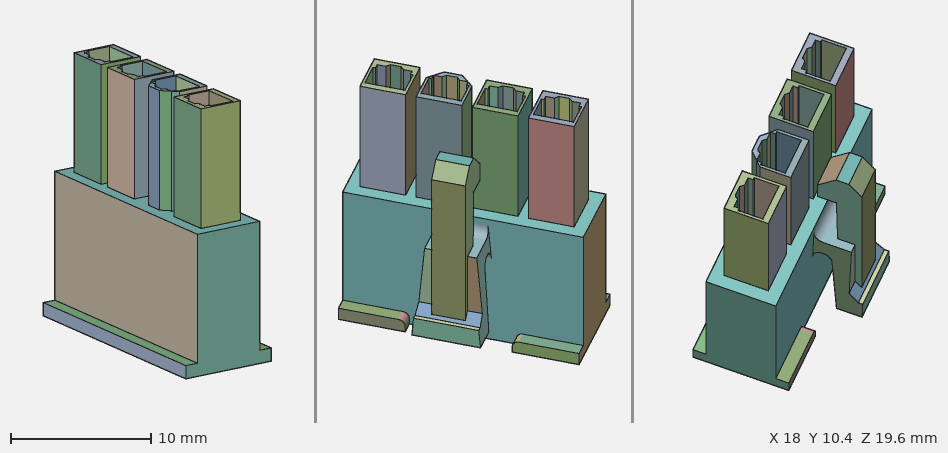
import cadquery as cq
import math


housing_length = 18.0
housing_width = 5.4
housing_top = 10.65
flange_width = 7.4
flange_height = 1.0
flange_gap = 8.0
flange_round = 0.5

tower_count = 4
tower_pitch = 4.2
tower_size = 3.42
tower_top = 19.6
keyed_tower = 2
key_bevel = 1.03

cavity_width = 3.0
cavity_back = 1.2
cavity_step = -0.7
cavity_narrow_width = 2.6
cavity_front = -1.1
cavity_floor = flange_height
groove_top_width = 1.32
groove_bottom_width = 0.8
groove_front = -1.38

wall_y = housing_width / 2
lever_top = 9.3
lever_bottom = 2.2
lever_back = 5.62
lever_top_width = 3.9
lever_draft = math.radians(5)
pad_top = 3.73
pad_back = 6.7
pad_slope_back = 6.36
pad_slope_top = 4.45
pad_front = 4.72
hinge_fillet = 0.75
hinge_arch_radius = 0.75
hinge_arch_z = 7.28
arch_back = wall_y + 2 * hinge_arch_radius

arm_width = 2.52
arm_back = 6.14
arm_front_low = 4.27
arm_front_high = 4.18
arm_bottom = 3.8
hook_top = 17.04
hook_shoulder = 15.95
hook_nose_top = 15.5
hook_underside = 14.0
hook_flat_back = 5.14
hook_flat_front = 4.16


def centred_box(length, width, bottom, top):
    """Box centred in X and Y between two heights."""
    return cq.Workplane("XY").workplane(offset=bottom).rect(length, width).extrude(top - bottom)


def side_profile(width):
    """YZ workplane placed so that extruding by width is centred on X."""
    return cq.Workplane("YZ").workplane(offset=-width / 2)


def make_housing():
    body = centred_box(housing_length, housing_width, 0, housing_top)
    flange = centred_box(housing_length, flange_width, 0, flange_height)
    gap_depth = (flange_width - housing_width) / 2
    gap = cq.Workplane("XY").box(flange_gap, gap_depth, flange_height, centered=(True, False, False))
    flange = flange.cut(gap.translate((0, wall_y, 0)))
    for side in (-1, 1):
        edge_point = (side * flange_gap / 2, wall_y + gap_depth / 2, flange_height)
        flange = flange.edges(cq.selectors.NearestToPointSelector(edge_point)).fillet(flange_round)
    return body.union(flange)


def make_tower(keyed):
    tower = centred_box(tower_size, tower_size, flange_height, tower_top)
    if keyed:
        tower = tower.edges("|Z and <Y").chamfer(key_bevel)
    return tower


def make_cavity():
    """Stepped blind pocket with a tapered groove running through the floor."""
    wide = cavity_width / 2
    narrow = cavity_narrow_width / 2
    pocket = (
        cq.Workplane("XY").workplane(offset=cavity_floor)
        .moveTo(-wide, cavity_back)
        .lineTo(wide, cavity_back)
        .lineTo(wide, cavity_step)
        .lineTo(narrow, cavity_step)
        .lineTo(narrow, cavity_front)
        .lineTo(-narrow, cavity_front)
        .lineTo(-narrow, cavity_step)
        .lineTo(-wide, cavity_step)
        .close()
        .extrude(tower_top - cavity_floor)
    )
    groove = (
        cq.Workplane("XY")
        .moveTo(-groove_top_width / 2, cavity_front)
        .lineTo(groove_top_width / 2, cavity_front)
        .lineTo(groove_bottom_width / 2, groove_front)
        .lineTo(-groove_bottom_width / 2, groove_front)
        .close()
        .extrude(tower_top)
    )
    return pocket.union(groove)


def make_lever():
    lever_height = lever_top - lever_bottom
    bottom_half_width = lever_top_width / 2 + lever_height * math.tan(lever_draft)
    plate = (
        side_profile(2 * bottom_half_width)
        .moveTo(wall_y, lever_top + hinge_fillet)
        .radiusArc((wall_y + hinge_fillet, lever_top), -hinge_fillet)
        .lineTo(lever_back, lever_top)
        .lineTo(lever_back, pad_slope_top)
        .lineTo(pad_slope_back, pad_top)
        .lineTo(pad_back, pad_top)
        .lineTo(pad_back, lever_bottom)
        .lineTo(pad_front, lever_bottom)
        .lineTo(arch_back, hinge_arch_z)
        .threePointArc((wall_y + hinge_arch_radius, hinge_arch_z + hinge_arch_radius), (wall_y, hinge_arch_z))
        .close()
        .extrude(2 * bottom_half_width)
    )
    fillet_top = lever_top + hinge_fillet
    top_half_width = lever_top_width / 2 - hinge_fillet * math.tan(lever_draft)
    draft_envelope = (
        cq.Workplane("XZ")
        .moveTo(-top_half_width, fillet_top)
        .lineTo(top_half_width, fillet_top)
        .lineTo(bottom_half_width, lever_bottom)
        .lineTo(-bottom_half_width, lever_bottom)
        .close()
        .extrude(-pad_back)
    )
    return plate.intersect(draft_envelope)


def make_arm():
    return (
        side_profile(arm_width)
        .moveTo(arm_back, arm_bottom)
        .lineTo(arm_back, hook_shoulder)
        .lineTo(hook_flat_back, hook_top)
        .lineTo(hook_flat_front, hook_top)
        .lineTo(wall_y, hook_nose_top)
        .lineTo(wall_y, hook_underside)
        .lineTo(arm_front_high, hook_underside)
        .lineTo(arm_front_low, lever_top)
        .lineTo(lever_back, arm_bottom)
        .close()
        .extrude(arm_width)
    )


result = make_housing()
first_tower_x = -tower_pitch * (tower_count - 1) / 2
tower_places = [first_tower_x + index * tower_pitch for index in range(tower_count)]
for index, tower_x in enumerate(tower_places):
    result = result.union(make_tower(index == keyed_tower).translate((tower_x, 0, 0)))
for tower_x in tower_places:
    result = result.cut(make_cavity().translate((tower_x, 0, 0)))
result = result.union(make_lever()).union(make_arm())